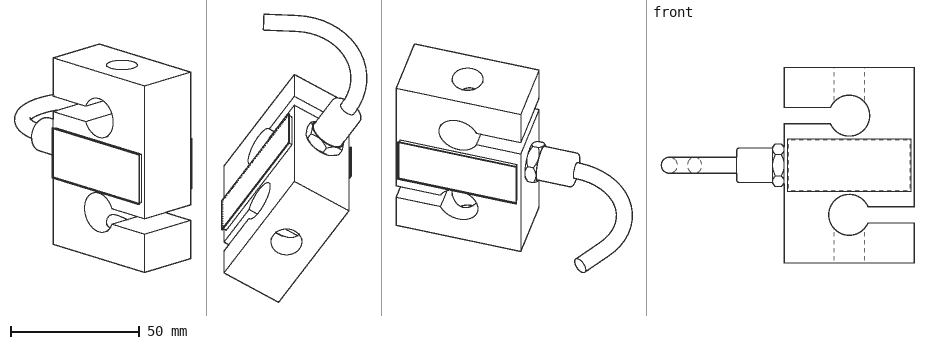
import cadquery as cq
import math

block_length = 50.6
block_width = 25.3
block_height = 76.2

relief_diameter = 15.9
relief_offset = 19.3
slot_height = 6.3
mounting_hole_diameter = 12.0

cover_length = 48.1
cover_height = 20.5
cover_thickness = 0.4
pad_inset = 0.4
pad_thickness = 1.5

nut_flats = 14.4
nut_length = 4.5
barrel_diameter = 13.5
barrel_length = 14.0
barrel_fillet = 1.0

cable_diameter = 6.3
cable_lead = 0.8
bend_radius = 25.4
bend_angle = math.radians(120)
tail_length = 12.9

block_left = -block_length / 2
nut_left = block_left - nut_length
barrel_left = nut_left - barrel_length
bend_start = barrel_left - cable_lead


def along_x(start, length, diameter):
    """Cylinder on the X axis running in +X from start."""
    return cq.Workplane("YZ", origin=(start, 0, 0)).circle(diameter / 2).extrude(length)


def make_block():
    block = cq.Workplane("XY").box(block_length, block_width, block_height)
    for side in (-1, 1):
        level = -side * relief_offset
        relief = (
            cq.Workplane("XZ")
            .center(0, level)
            .circle(relief_diameter / 2)
            .extrude(block_width / 2, both=True)
        )
        slot = cq.Workplane("XY").box(block_length / 2, block_width, slot_height)
        slot = slot.translate((side * block_length / 4, 0, level))
        mounting_hole = (
            cq.Workplane("XY", origin=(0, 0, level))
            .circle(mounting_hole_diameter / 2)
            .extrude(-side * (block_height / 2 - relief_offset))
        )
        block = block.cut(relief).cut(slot).cut(mounting_hole)
    return block


def make_cover(side):
    """Pad and cover plate on the face at side * Y."""
    pad_length = cover_length - 2 * pad_inset
    pad_height = cover_height - 2 * pad_inset
    pad_middle = block_width / 2 + pad_thickness / 2
    cover_middle = block_width / 2 + pad_thickness + cover_thickness / 2
    pad = cq.Workplane("XY").box(pad_length, pad_thickness, pad_height)
    cover = cq.Workplane("XY").box(cover_length, cover_thickness, cover_height)
    pad = pad.translate((0, side * pad_middle, 0))
    return pad.union(cover.translate((0, side * cover_middle, 0)))


def make_nut():
    """Hexagon with corners up and down, its corners turned off at both ends."""
    corner_radius = nut_flats / math.sqrt(3)
    corner_chamfer = corner_radius - nut_flats / 2
    corners = [
        (
            corner_radius * math.sin(math.radians(60 * i)),
            corner_radius * math.cos(math.radians(60 * i)),
        )
        for i in range(6)
    ]
    hexagon = (
        cq.Workplane("YZ", origin=(nut_left, 0, 0)).polyline(corners).close().extrude(nut_length)
    )
    turned = along_x(nut_left, nut_length, 2 * corner_radius)
    turned = turned.faces("<X or >X").edges().chamfer(corner_chamfer)
    return hexagon.intersect(turned)


def make_cable():
    """Straight lead, bend towards +Y, then a straight tail."""
    def on_bend(angle):
        return (
            bend_start - bend_radius * math.sin(angle),
            bend_radius * (1 - math.cos(angle)),
        )

    bend_end = on_bend(bend_angle)
    tail_end = (
        bend_end[0] - tail_length * math.cos(bend_angle),
        bend_end[1] + tail_length * math.sin(bend_angle),
    )
    path = (
        cq.Workplane("XY")
        .moveTo(barrel_left, 0)
        .lineTo(bend_start, 0)
        .threePointArc(on_bend(bend_angle / 2), bend_end)
        .lineTo(*tail_end)
    )
    return cq.Workplane("YZ", origin=(barrel_left, 0, 0)).circle(cable_diameter / 2).sweep(path)


barrel = along_x(barrel_left, barrel_length, barrel_diameter).edges("<X").fillet(barrel_fillet)

result = make_block().union(make_cover(-1)).union(make_cover(1))
result = result.union(make_nut()).union(barrel).union(make_cable())